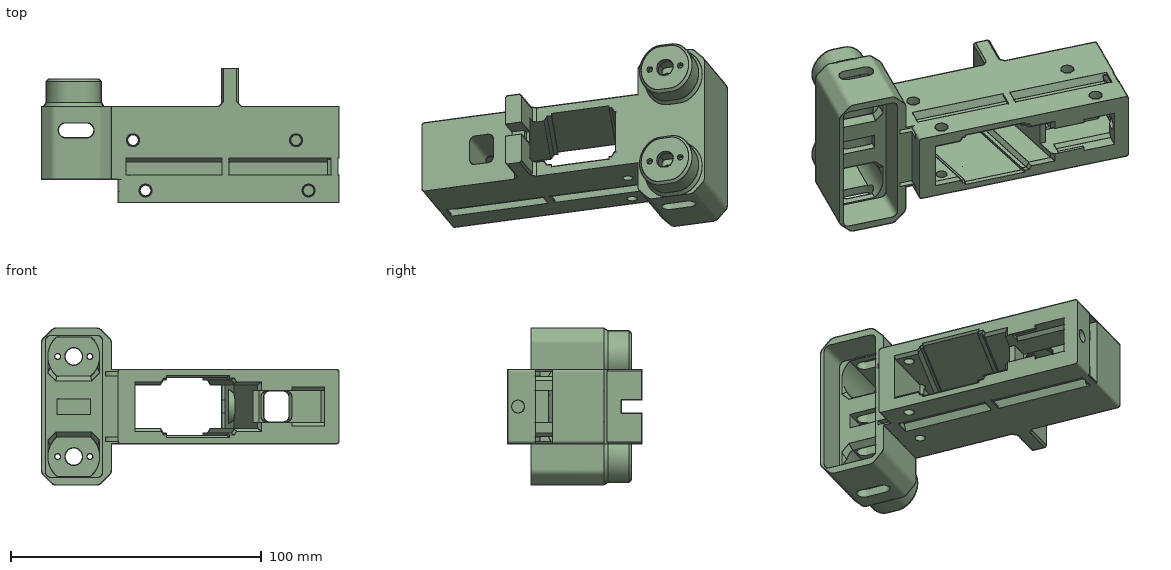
import cadquery as cq
import math

LENGTH = 118.8
BODY_DEPTH = 38.4
BODY_HEIGHT = 29.7
BODY_LEFT = 30.5
BODY_EDGE_RADIUS = 1.2
HALF_BODY = BODY_HEIGHT / 2

HEAD_WIDTH = 28.0
HEAD_HEIGHT = 62.7
HEAD_FRONT = 9.3
HEAD_BEVEL = 4.93
HEAD_BEVEL_RADIUS = 3.0
CAVITY_LEFT = 1.7
CAVITY_RIGHT = 24.5
CAVITY_HEIGHT = 56.8
CAVITY_BACK = 23.2
CAVITY_RADIUS = 2.4
SLOT_LENGTH = 14.1
SLOT_WIDTH = 5.8
SLOT_X = 13.9
SLOT_Y = 28.9
WINDOW_WIDTH = 13.5
WINDOW_HEIGHT = 6.2

BOSS_X = 13.0
BOSS_Z = 20.0
BOSS_RADIUS = 11.0
BOSS_HALF_FLAT = 10.3
BOSS_BLEND_RADIUS = 7.0
BOSS_END = 49.4
BOSS_CHAMFER = 1.1
BOSS_FLOOR = 1.9
ROOT_FLARE = 1.0
ROOT_FLARE_DEPTH = 1.7
POCKET_RADIUS = 10.3
POCKET_HALF_FLAT = 7.8
POCKET_MOUTH_DROP = 9.7
POCKET_MOUTH_BEVEL = 3.2
POCKET_MOUTH_DEPTH = 2.6
AXLE_DIAMETER = 6.9
PIN_DIAMETER = 2.3
PIN_OFFSET = 6.4

TIE_SLOT_RADIUS = 4.9
TIE_SLOT_Z = 12.2
TIE_SLOT_HEIGHT = 1.8

OPENING_LEFT = 37.4
OPENING_RIGHT = 86.6
OPENING_HALF = 8.7
OPENING_LEAN = 9.9
WIDE_LEFT = 50.0
WIDE_RIGHT = 74.2
WIDE_HALF = 11.5
WIDE_LEDGE_HALF = 10.6
LEFT_LEDGE = 1.1
RIGHT_LEDGE = 1.8
SHOULDER_BEVEL = 1.3
MOUTH_CHAMFER = 1.2
WIDE_CHAMFER = 0.8

CHAMBER_HALF = 6.3
CHAMBER_LEFT = 86.7
CHAMBER_RIGHT = 112.8
CHAMBER_STEP_Y = 8.5
CHAMBER_BACK = 16.4
SEAT_LEFT = 89.3
ENTRY_LEFT = 100.0
LIP_DEPTH = 1.2
ENTRY_HALF = 7.7
ENTRY_DEPTH = 4.8
PORT_LEFT = 88.7
PORT_RIGHT = 98.7
PORT_HALF = 6.2
PORT_RADIUS = 2.4
PORT_FLARE = 1.2
END_HOLE_DIAMETER = 5.1
END_HOLE_Y = 4.2

STRAP_FRONT = 11.0
STRAP_BACK = 17.8
STRAP_DEPTH = 2.8
STRAP_SLOPE = 1.5
STRAP_LEFT = 33.7
STRAP_RIGHT = 115.5
BRIDGE_LEFT = 72.0
BRIDGE_RIGHT = 74.8
BRIDGE_THICKNESS = 1.0
END_RECESS = 0.5

SCREW_DIAMETER = 4.3
COUNTERBORE_DIAMETER = 5.1
COUNTERBORE_DEPTH = 3.6
THROUGH_SCREWS = [(36.6, 24.9), (41.6, 4.9)]
BLIND_SCREWS = [(101.5, 24.9), (106.5, 4.9)]
BLIND_DEPTH = 5.9

FINGER_LEFT = 71.8
FINGER_RIGHT = 78.6
FINGER_END = 53.5
FINGER_EDGE = 0.77
FINGER_ROOT = 1.2
NOTCH_HALF = 2.6
NOTCH_FLOOR_Y = 45.4
NOTCH_STEP_Y = 43.2
RELIEF_END = 43.0
RELIEF_X = 73.3
BUMP_LEFT = 74.6
BUMP_Y = 43.2
BUMP_RADIUS = 7.1


def box(x0, x1, y0, y1, z0, z1):
    return cq.Workplane("XY").box(x1 - x0, y1 - y0, z1 - z0, centered=False).translate((x0, y0, z0))


def front_plane(y):
    """Workplane at depth y whose local axes are X and Z and whose normal is -Y."""
    return cq.Workplane("XZ", origin=(0, y, 0))


def loft_between(points_front, y_front, points_back, y_back):
    """Straight-sided solid between two X-Z outlines at two depths."""
    back = front_plane(y_back).polyline(points_back).close()
    return back.workplane(offset=y_back - y_front).polyline(points_front).close().loft(ruled=True)


def plan_prism(points, half_height):
    """X-Y outline extruded symmetrically about Z = 0."""
    return cq.Workplane("XY").polyline(points).close().extrude(half_height, both=True)


def mirrored(shape):
    """The shape together with its mirror image in Z."""
    return shape.union(shape.mirror("XY"))


def make_head():
    head = box(0, HEAD_WIDTH, HEAD_FRONT, BODY_DEPTH, -HEAD_HEIGHT / 2, HEAD_HEIGHT / 2)
    head = head.edges("|Y").chamfer(HEAD_BEVEL)
    return head.edges("|Y").fillet(HEAD_BEVEL_RADIUS)


def flatted_disc(y_front, y_back, radius, half_flat):
    """Disc along Y at the upper boss position, trimmed flat above and below."""
    disc = front_plane(y_back).center(BOSS_X, BOSS_Z).circle(radius).extrude(y_back - y_front)
    keep = front_plane(y_back).center(BOSS_X, BOSS_Z).rect(2 * radius, 2 * half_flat)
    return disc.intersect(keep.extrude(y_back - y_front))


def make_boss():
    prism = flatted_disc(BODY_DEPTH, BOSS_END, BOSS_RADIUS, BOSS_HALF_FLAT)
    prism = prism.edges("|Y").fillet(BOSS_BLEND_RADIUS)
    flare_angle = math.degrees(math.atan(ROOT_FLARE / ROOT_FLARE_DEPTH))
    outline = prism.translate((0, ROOT_FLARE_DEPTH, 0)).faces("<Y").wires().val()
    flare = front_plane(BODY_DEPTH + ROOT_FLARE_DEPTH).add(outline).toPending()
    flare = flare.extrude(ROOT_FLARE_DEPTH, taper=-flare_angle)
    return prism.faces(">Y").chamfer(BOSS_CHAMFER).union(flare)


def pocket_mouth():
    """Lead-in that widens the boss pocket toward the middle of the head."""
    def outline(side, corner):
        right_half = [(POCKET_RADIUS, 0), side, corner]
        left_half = [(-x, z) for x, z in reversed(right_half)]
        return [(BOSS_X + x, BOSS_Z + z) for x, z in right_half + left_half]

    flat_angle = math.asin(POCKET_HALF_FLAT / POCKET_RADIUS)

    def on_circle(angle):
        return (POCKET_RADIUS * math.cos(angle), -POCKET_RADIUS * math.sin(angle))

    mouth = outline((POCKET_RADIUS, POCKET_MOUTH_BEVEL - POCKET_MOUTH_DROP),
                    (POCKET_RADIUS - POCKET_MOUTH_BEVEL, -POCKET_MOUTH_DROP))
    inner = outline(on_circle(flat_angle / 2), on_circle(flat_angle))
    return loft_between(mouth, CAVITY_BACK, inner, CAVITY_BACK + POCKET_MOUTH_DEPTH)


def head_cuts():
    half_cavity = CAVITY_HEIGHT / 2
    cuts = box(CAVITY_LEFT, CAVITY_RIGHT, HEAD_FRONT, CAVITY_BACK, -half_cavity, half_cavity)
    cuts = cuts.edges("|Y").fillet(CAVITY_RADIUS)

    pocket = flatted_disc(CAVITY_BACK, BOSS_END - BOSS_FLOOR, POCKET_RADIUS, POCKET_HALF_FLAT)
    pocket = pocket.union(pocket_mouth())
    pin_points = [(BOSS_X - PIN_OFFSET, BOSS_Z), (BOSS_X + PIN_OFFSET, BOSS_Z)]
    axle = front_plane(BOSS_END).center(BOSS_X, BOSS_Z).circle(AXLE_DIAMETER / 2)
    pins = front_plane(BOSS_END).pushPoints(pin_points).circle(PIN_DIAMETER / 2)
    bore_depth = BOSS_END - CAVITY_BACK
    pocket = pocket.union(axle.extrude(bore_depth)).union(pins.extrude(bore_depth))

    slot = cq.Workplane("XY").center(SLOT_X, SLOT_Y).slot2D(SLOT_LENGTH, SLOT_WIDTH)
    window = box(BOSS_X - WINDOW_WIDTH / 2, BOSS_X + WINDOW_WIDTH / 2, CAVITY_BACK,
                 SLOT_Y + SLOT_WIDTH / 2, -WINDOW_HEIGHT / 2, WINDOW_HEIGHT / 2)
    return cuts.union(mirrored(pocket)).union(slot.extrude(HEAD_HEIGHT, both=True)).union(window)


def make_body():
    body = box(BODY_LEFT, LENGTH, 0, BODY_DEPTH, -HALF_BODY, HALF_BODY)
    body = body.edges("|Y").fillet(BODY_EDGE_RADIUS)
    neck = box(HEAD_WIDTH - HEAD_BEVEL, BODY_LEFT + BODY_EDGE_RADIUS, HEAD_FRONT, BODY_DEPTH,
               -HALF_BODY, HALF_BODY)
    return body.union(neck)


def tie_slot():
    """Thin disc-shaped slot sunk into the corner between the head front and the body side."""
    slot = cq.Workplane("XY", origin=(BODY_LEFT, HEAD_FRONT, TIE_SLOT_Z)).circle(TIE_SLOT_RADIUS)
    return slot.extrude(TIE_SLOT_HEIGHT)


def make_finger():
    finger = box(FINGER_LEFT, FINGER_RIGHT, BODY_DEPTH, FINGER_END, -HALF_BODY, HALF_BODY)
    finger = finger.edges("|Y").chamfer(FINGER_EDGE)
    root = plan_prism([
        (FINGER_LEFT - FINGER_ROOT, BODY_DEPTH),
        (FINGER_RIGHT + FINGER_ROOT, BODY_DEPTH),
        (FINGER_RIGHT - FINGER_EDGE, BODY_DEPTH + FINGER_ROOT + FINGER_EDGE),
        (FINGER_LEFT + FINGER_EDGE, BODY_DEPTH + FINGER_ROOT + FINGER_EDGE),
    ], HALF_BODY)
    notch = box(FINGER_LEFT, FINGER_RIGHT, NOTCH_FLOOR_Y, FINGER_END, -NOTCH_HALF, NOTCH_HALF)
    step = box(FINGER_LEFT, RELIEF_X, NOTCH_STEP_Y, NOTCH_FLOOR_Y, -NOTCH_HALF, NOTCH_HALF)
    return finger.union(root).cut(notch).cut(step)


def finger_relief():
    """Hollow in the finger root that continues the main opening."""
    outer_x = FINGER_LEFT - 2 * FINGER_ROOT
    return plan_prism([
        (outer_x, BODY_DEPTH),
        (OPENING_RIGHT - OPENING_LEAN, BODY_DEPTH),
        (RELIEF_X, RELIEF_END),
        (outer_x, RELIEF_END),
    ], OPENING_HALF)


def make_bump():
    """Round nose standing out of the leaning wall at the finger root."""
    bump = cq.Workplane("YZ", origin=(BUMP_LEFT, 0, 0)).center(BUMP_Y, 0).circle(BUMP_RADIUS)
    bump = bump.extrude(FINGER_RIGHT - BUMP_LEFT)
    return bump.intersect(box(BUMP_LEFT, FINGER_RIGHT, 0, RELIEF_END, -HALF_BODY, HALF_BODY))


def main_opening():
    def narrow(lean, grow):
        right = OPENING_RIGHT - lean + grow
        half = OPENING_HALF + grow
        return [(OPENING_LEFT, -half), (right, -half), (right, half), (OPENING_LEFT, half)]

    def wide(lean, grow):
        left = WIDE_LEFT - lean
        right = WIDE_RIGHT - lean + grow
        half = WIDE_HALF + grow
        ledge = WIDE_LEDGE_HALF + grow
        shoulder = OPENING_HALF + grow
        upper = [
            (left - LEFT_LEDGE - SHOULDER_BEVEL, shoulder),
            (left - LEFT_LEDGE, ledge),
            (left, ledge),
            (left, half),
            (right, half),
            (right, ledge),
            (right + RIGHT_LEDGE, ledge),
            (right + RIGHT_LEDGE + SHOULDER_BEVEL, shoulder),
        ]
        lower = [(x, -z) for x, z in reversed(upper)]
        return upper + lower

    def leaning(outline, chamfer):
        chamfer_lean = OPENING_LEAN / BODY_DEPTH * chamfer
        through = loft_between(outline(0, 0), 0, outline(OPENING_LEAN, 0), BODY_DEPTH)
        mouth = loft_between(outline(0, chamfer), 0, outline(chamfer_lean, 0), chamfer)
        return through.union(mouth)

    return leaning(narrow, MOUTH_CHAMFER).union(leaning(wide, WIDE_CHAMFER))


def chamber():
    ramp = ENTRY_HALF - CHAMBER_HALF
    ramp_end = ENTRY_DEPTH + ramp
    shallow = box(OPENING_RIGHT - OPENING_LEAN, SEAT_LEFT, 0, CHAMBER_STEP_Y,
                  -CHAMBER_HALF, CHAMBER_HALF)
    deep = plan_prism([
        (CHAMBER_LEFT, ramp_end),
        (CHAMBER_RIGHT, ramp_end),
        (CHAMBER_RIGHT + STRAP_FRONT - ramp_end, STRAP_FRONT),
        (STRAP_RIGHT, STRAP_FRONT),
        (STRAP_RIGHT, STRAP_BACK),
        (CHAMBER_RIGHT, STRAP_BACK),
        (CHAMBER_RIGHT - ramp, CHAMBER_BACK),
        (CHAMBER_LEFT, CHAMBER_BACK),
    ], CHAMBER_HALF)
    seat_section = [
        (0, ENTRY_HALF),
        (ENTRY_DEPTH, ENTRY_HALF),
        (ramp_end, CHAMBER_HALF),
        (ramp_end, -CHAMBER_HALF),
        (ENTRY_DEPTH, -ENTRY_HALF),
        (0, -ENTRY_HALF),
    ]
    seat = cq.Workplane("YZ", origin=(SEAT_LEFT, 0, 0)).polyline(seat_section).close()
    seat = seat.extrude(CHAMBER_RIGHT - SEAT_LEFT)
    for z0, z1 in [(-ENTRY_HALF, -CHAMBER_HALF), (CHAMBER_HALF, ENTRY_HALF)]:
        seat = seat.cut(box(SEAT_LEFT, ENTRY_LEFT, 0, LIP_DEPTH, z0, z1))
    end_hole = cq.Workplane("YZ", origin=(CHAMBER_RIGHT, 0, 0)).center(END_HOLE_Y, 0)
    end_hole = end_hole.circle(END_HOLE_DIAMETER / 2).extrude(LENGTH - CHAMBER_RIGHT)
    return shallow.union(deep).union(seat).union(end_hole)


def port():
    """Rounded opening from the chamber out through the back, flared sideways at its mouth."""
    def outline(plane, grow):
        width = PORT_RIGHT - PORT_LEFT + 2 * grow
        profile = plane.center((PORT_LEFT + PORT_RIGHT) / 2, 0).sketch()
        return profile.rect(width, 2 * PORT_HALF).vertices().fillet(PORT_RADIUS).finalize()

    through = outline(front_plane(BODY_DEPTH), 0).extrude(BODY_DEPTH - CHAMBER_BACK)
    sides = [
        (PORT_LEFT - PORT_FLARE, CHAMBER_BACK),
        (PORT_RIGHT + PORT_FLARE, CHAMBER_BACK),
        (PORT_RIGHT, CHAMBER_BACK + PORT_FLARE),
        (PORT_LEFT, CHAMBER_BACK + PORT_FLARE),
    ]
    flare = outline(front_plane(CHAMBER_BACK + PORT_FLARE), PORT_FLARE).extrude(PORT_FLARE)
    return through.union(flare.intersect(plan_prism(sides, PORT_HALF)))


def strap_channel():
    floor_z = HALF_BODY - STRAP_DEPTH
    skin_z = HALF_BODY - BRIDGE_THICKNESS
    section = [
        (STRAP_FRONT, floor_z),
        (STRAP_BACK - STRAP_SLOPE, floor_z),
        (STRAP_BACK, HALF_BODY),
        (STRAP_FRONT, HALF_BODY),
    ]
    channel = cq.Workplane("YZ", origin=(STRAP_LEFT, 0, 0)).polyline(section).close()
    channel = channel.extrude(LENGTH - STRAP_LEFT)
    for start, end in [(BRIDGE_LEFT, BRIDGE_RIGHT), (STRAP_RIGHT, LENGTH)]:
        channel = channel.cut(box(start, end, STRAP_FRONT, STRAP_BACK, skin_z, HALF_BODY))

    turn_section = [
        (STRAP_RIGHT - STRAP_SLOPE, floor_z),
        (STRAP_RIGHT, floor_z - STRAP_SLOPE),
        (STRAP_RIGHT, 0),
        (LENGTH, 0),
        (LENGTH, skin_z),
        (STRAP_RIGHT - STRAP_SLOPE, skin_z),
    ]
    turn = front_plane(STRAP_BACK).polyline(turn_section).close()
    turn = turn.extrude(STRAP_BACK - STRAP_FRONT)
    recess = box(LENGTH - END_RECESS, LENGTH, STRAP_FRONT, STRAP_BACK, 0, HALF_BODY)
    return mirrored(channel.union(turn).union(recess))


def screw_holes():
    def drill(points, diameter, depth):
        top = cq.Workplane("XY", origin=(0, 0, HALF_BODY)).pushPoints(points)
        return top.circle(diameter / 2).extrude(-depth)

    holes = drill(THROUGH_SCREWS, SCREW_DIAMETER, BODY_HEIGHT)
    holes = holes.union(drill(BLIND_SCREWS, SCREW_DIAMETER, BLIND_DEPTH))
    return holes.union(drill(THROUGH_SCREWS + BLIND_SCREWS, COUNTERBORE_DIAMETER, COUNTERBORE_DEPTH))


result = make_head().union(mirrored(make_boss())).union(make_body())
result = result.union(make_finger())
for cut_shape in (head_cuts(), mirrored(tie_slot()), main_opening(), finger_relief(), chamber(), port(),
                  strap_channel(), screw_holes()):
    result = result.cut(cut_shape)
result = result.union(make_bump())